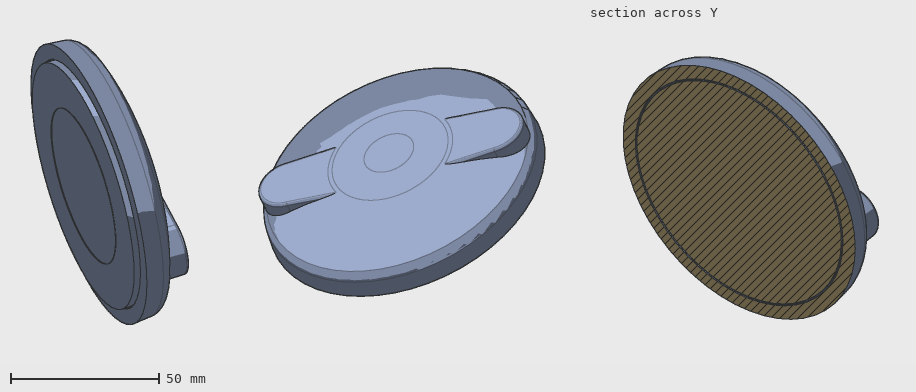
import cadquery as cq

body_radius = 49.5
body_depth = 20.0
pad_radius = 87.0 / 2
pad_height = 2.1
groove_radius = 88.0 / 2
groove_depth = 1.0
recess_radius = 55.0 / 2
recess_depth = 0.3

wall_end = (48.9, 8.4)
shoulder_mid = (48.3, 10.2)
dome_start = (46.9, 11.7)
dome_mid = (37.1, 15.3)
cap_start = (20.8, 18.8)
cap_mid = (15.3, 19.6)
cap_flat_radius = 8.9

bar_half_length = 47.4
bar_end_radius = 10.3
bar_centre_half_width = 13.6
bar_base = 8.9
bar_top = 18.6
bar_edge_round = 1.0


def disc(radius, start, height):
    """Disc about the Y axis, running from start towards +Y."""
    plane = cq.Workplane("XZ", origin=(0, start, 0))
    return plane.circle(radius).extrude(-height)


def make_body():
    """Wall, shoulder and dome revolved about the Y axis, with the pad in front."""
    profile = (
        cq.Workplane("XY")
        .moveTo(0, pad_height)
        .lineTo(body_radius, pad_height)
        .lineTo(*wall_end)
        .threePointArc(shoulder_mid, dome_start)
        .threePointArc(dome_mid, cap_start)
        .threePointArc(cap_mid, (cap_flat_radius, body_depth))
        .lineTo(0, body_depth)
        .close()
    )
    shell = profile.revolve(360, (0, 0, 0), (0, 1, 0))
    groove = disc(groove_radius, pad_height, groove_depth)
    pad = disc(pad_radius, 0, pad_height + groove_depth)
    recess = disc(recess_radius, 0, recess_depth)
    return shell.cut(groove).union(pad).cut(recess)


def make_bar():
    """Grip bar with round ends and softened back edges."""
    end_x = bar_half_length - bar_end_radius
    outline = (
        cq.Workplane("XZ", origin=(0, bar_base, 0))
        .moveTo(-end_x, bar_end_radius)
        .lineTo(0, bar_centre_half_width)
        .lineTo(end_x, bar_end_radius)
        .threePointArc((bar_half_length, 0), (end_x, -bar_end_radius))
        .lineTo(0, -bar_centre_half_width)
        .lineTo(-end_x, -bar_end_radius)
        .threePointArc((-bar_half_length, 0), (-end_x, bar_end_radius))
        .close()
    )
    bar = outline.extrude(bar_base - bar_top)
    return bar.faces(">Y").edges().fillet(bar_edge_round)


result = make_body().union(make_bar())